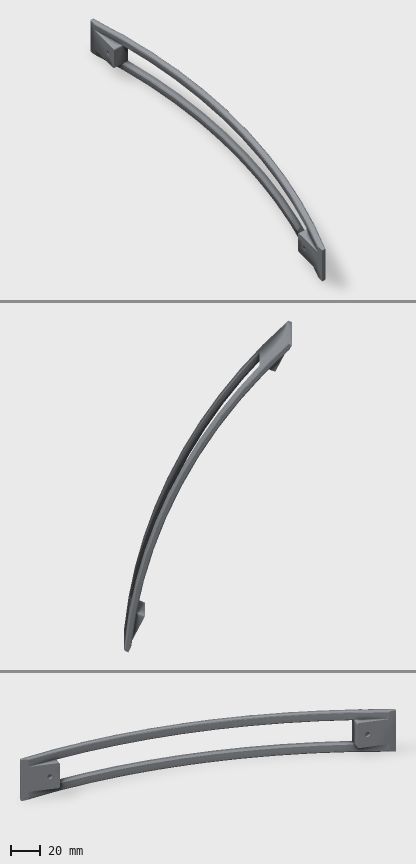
import cadquery as cq
import math

length = 265.0
rise = 25.7
height = 30.0

thickness = 4.5
foot_flat = 5.0
inner_rise = rise - thickness
inner_half_chord = length / 2 - foot_flat
inner_radius = (inner_half_chord**2 + inner_rise**2) / (2 * inner_rise)
outer_radius = inner_radius + thickness
arc_center_y = rise - outer_radius
edge_round = 1.0

opening_height = 16.7
opening_edge_chamfer = 0.8

block_length = 27.3
block_height = 18.3
block_corner = 1.0
block_inner_x = length / 2 - block_length
hole_diameter = 3.5
hole_x = length / 2 - 20.1
hole_depth = 5.8
drill_tip_angle = 118.0


def disc(radius, disc_height):
    """Cylinder about the bow axis, centred on Z = 0."""
    return cq.Workplane("XY").center(0, arc_center_y).circle(radius).extrude(disc_height / 2, both=True)


def block(x_min, x_max, block_z):
    """Box from the mounting plane up to the handle's full rise."""
    width = x_max - x_min
    return cq.Workplane("XY").box(width, rise, block_z).translate(((x_min + x_max) / 2, rise / 2, 0))


def bowed_strip():
    """Full-height arched strip with rounded outer edges, cut off at the mounting plane."""
    ring = disc(outer_radius, height).cut(disc(inner_radius, height))
    ring = ring.edges("%CIRCLE").fillet(edge_round)
    return ring.intersect(block(-length / 2, length / 2, height))


def opening():
    """Slot between the blocks, widened by a bevel next to the inner arc."""
    slot = block(-block_inner_x, block_inner_x, opening_height)
    bevel_height = opening_height + 2 * opening_edge_chamfer
    bevel = disc(inner_radius + opening_edge_chamfer, bevel_height)
    bevel = bevel.faces("|Z").chamfer(opening_edge_chamfer)
    return slot.union(bevel.intersect(block(-block_inner_x, block_inner_x, height)))


def mounting_block():
    """Right-hand block ending within the thickness of the strip."""
    body = block(block_inner_x, length / 2, block_height)
    body = body.edges("|Y and <X").fillet(block_corner)
    return body.intersect(disc(outer_radius - thickness / 2, height))


def screw_hole():
    """Blind drilled hole with a conical tip, entering from the mounting plane."""
    radius = hole_diameter / 2
    tip = radius / math.tan(math.radians(drill_tip_angle / 2))
    profile = [(0, 0), (radius, 0), (radius, hole_depth), (0, hole_depth + tip)]
    drill = cq.Workplane("XY").polyline(profile).close().revolve(360, (0, 0), (0, 1))
    return drill.translate((hole_x, 0, 0))


blocks = mounting_block()
blocks = blocks.union(blocks.mirror("YZ"))
holes = screw_hole()
holes = holes.union(holes.mirror("YZ"))

result = bowed_strip().cut(opening()).union(blocks).cut(holes)